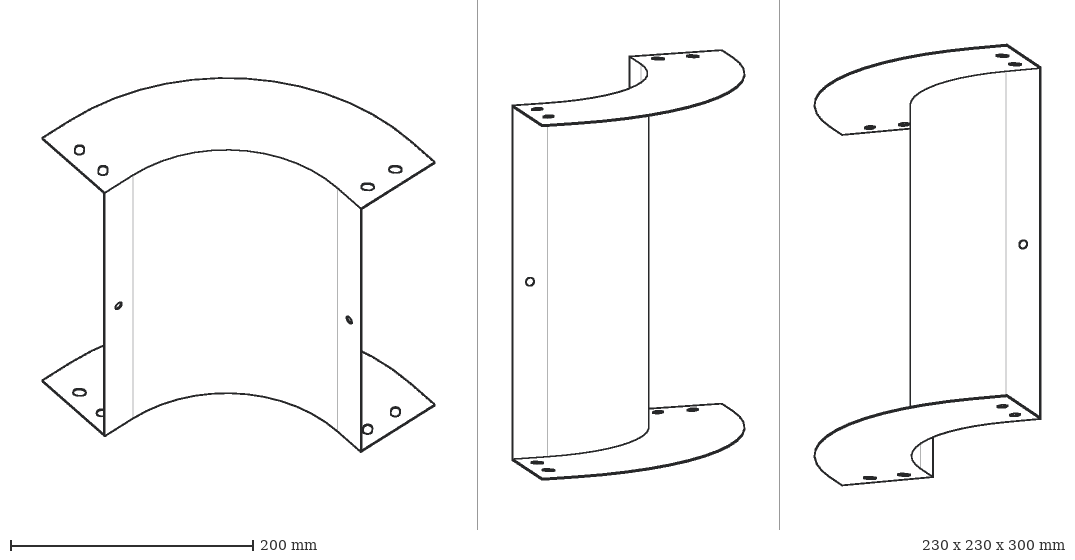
import cadquery as cq
import math

height = 300.0
side = 230.0
plate_width = 80.0
straight = 30.0
thickness = 1.2
hole_diameter = 7.0
slot_width = 7.5
slot_length = 10.5
slot_angle = 45.0
hole_end_offset = 15.0
hole_pitch = 30.0

outer_radius = side - straight
inner_radius = outer_radius - plate_width
end_x = side
end_y = 0.0
bend_x = end_x - straight
bend_y = end_y + straight


def curved_band(band_outer_radius, band_inner_radius, depth):
    """Quarter bend with a straight leg at each end, extruded upward from Z = 0."""
    diagonal = math.sqrt(0.5)
    outer_mid = (bend_x - band_outer_radius * diagonal, bend_y + band_outer_radius * diagonal)
    inner_mid = (bend_x - band_inner_radius * diagonal, bend_y + band_inner_radius * diagonal)
    return (
        cq.Workplane("XY")
        .moveTo(bend_x - band_outer_radius, end_y)
        .lineTo(bend_x - band_outer_radius, bend_y)
        .threePointArc(outer_mid, (bend_x, bend_y + band_outer_radius))
        .lineTo(end_x, bend_y + band_outer_radius)
        .lineTo(end_x, bend_y + band_inner_radius)
        .lineTo(bend_x, bend_y + band_inner_radius)
        .threePointArc(inner_mid, (bend_x - band_inner_radius, bend_y))
        .lineTo(bend_x - band_inner_radius, end_y)
        .close()
        .extrude(depth)
    )


bottom_plate = curved_band(outer_radius, inner_radius, thickness)
top_plate = bottom_plate.translate((0, 0, height - thickness))
wall = curved_band(inner_radius + thickness, inner_radius, height)
body = wall.union(bottom_plate).union(top_plate)

edge_distances = [hole_pitch, 2 * hole_pitch]
y_end_points = [(distance, hole_end_offset) for distance in edge_distances]
x_end_points = [(side - hole_end_offset, side - distance) for distance in edge_distances]


def plate_slots(base_z, points, angle):
    """Slot cutters through one plate, at the given angle from X in degrees."""
    return (
        cq.Workplane("XY", origin=(0, 0, base_z))
        .pushPoints(points)
        .slot2D(slot_length, slot_width, angle)
        .extrude(thickness)
    )


for plate_z, plate_angle in ((0, slot_angle), (height - thickness, -slot_angle)):
    body = body.cut(plate_slots(plate_z, y_end_points, plate_angle))
    body = body.cut(plate_slots(plate_z, x_end_points, -plate_angle))

wall_hole_along_y = (
    cq.Workplane("XZ")
    .center(side - hole_end_offset, height / 2)
    .circle(hole_diameter / 2)
    .extrude(-side)
)
wall_hole_along_x = (
    cq.Workplane("YZ")
    .center(hole_end_offset, height / 2)
    .circle(hole_diameter / 2)
    .extrude(side)
)

result = body.cut(wall_hole_along_y).cut(wall_hole_along_x)